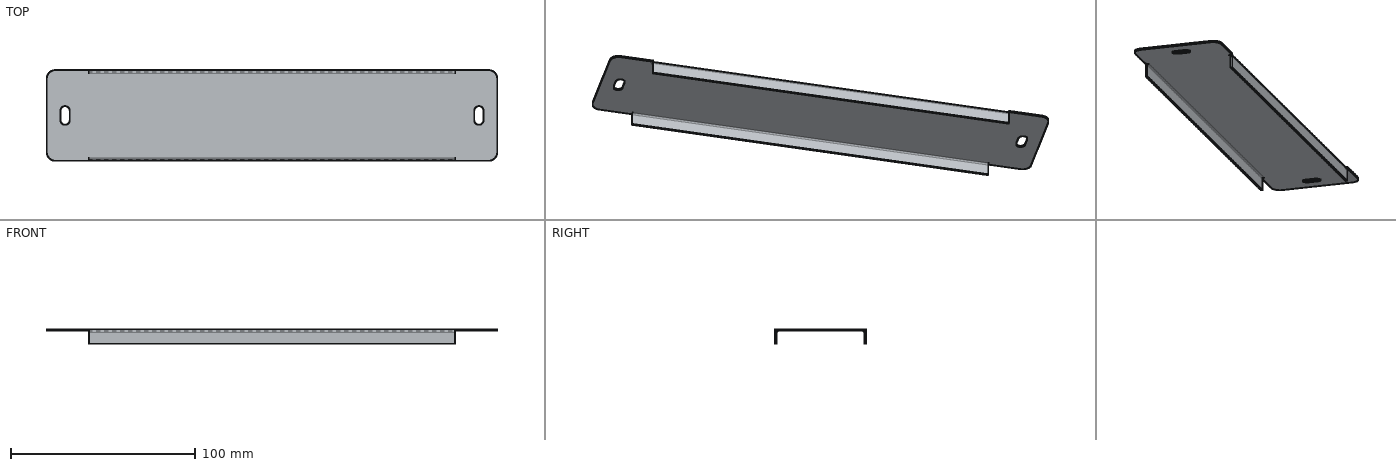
import cadquery as cq

length = 245.0
width = 49.5
height = 8.0
thickness = 1.0
corner_radius = 5.0
flange_length = 199.0
inner_bend_radius = 0.85
slot_length = 10.0
slot_width = 5.0
slot_end_distance = 10.0

outer_bend_radius = inner_bend_radius + thickness
slot_x = length / 2 - slot_end_distance


def make_plate():
    """Flat sheet with rounded corners; its top face lies at Z = 0."""
    return (
        cq.Workplane("XY")
        .box(length, width, thickness, centered=(True, True, False))
        .edges("|Z")
        .fillet(corner_radius)
        .translate((0, 0, -thickness))
    )


def make_channel():
    """Middle stretch of the sheet, bent down into a flange along both long sides."""
    inner_width = width - 2 * thickness
    outer = (
        cq.Workplane("XY")
        .box(flange_length, width, height, centered=(True, True, False))
        .translate((0, 0, -height))
        .edges("|X and >Z")
        .fillet(outer_bend_radius)
    )
    hollow = (
        cq.Workplane("XY")
        .box(flange_length, inner_width, height, centered=(True, True, False))
        .translate((0, 0, -height - thickness))
        .edges("|X and >Z")
        .fillet(inner_bend_radius)
    )
    return outer.cut(hollow)


def make_slots():
    """Mounting slots across both ends of the plate."""
    return (
        cq.Workplane("XY")
        .pushPoints([(-slot_x, 0), (slot_x, 0)])
        .slot2D(slot_length, slot_width, 90)
        .extrude(-thickness)
    )


middle_stretch = cq.Workplane("XY").box(flange_length, width, 2 * height)
plate_ends = make_plate().cut(middle_stretch)

result = plate_ends.union(make_channel()).cut(make_slots())